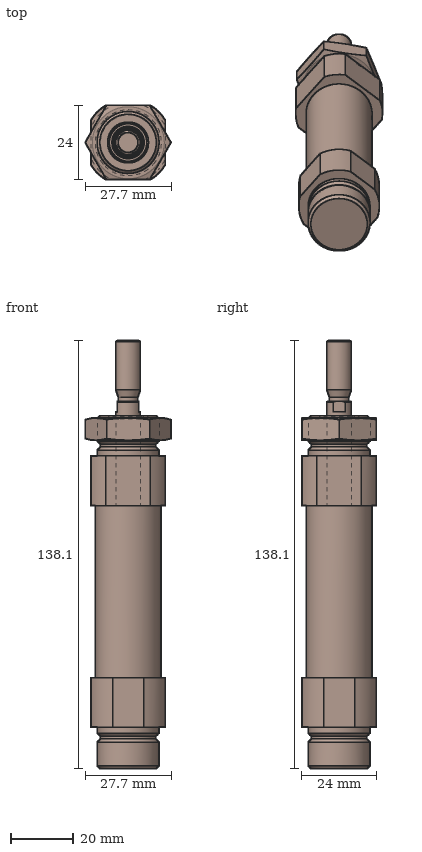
import cadquery as cq
import math

block_width = 24.0
block_height = 16.0
lower_block_base = 13.4
upper_block_base = 84.8
lower_block_top = lower_block_base + block_height
upper_block_top = upper_block_base + block_height
housing_length = 113.8

tube_diameter = 21.3
lower_block_diameter = 26.0
upper_block_diameter = 28.0
thread_diameter = 20.0
thread_tip_diameter = 18.2
thread_chamfer_length = 1.0
undercut_diameter = 18.0
undercut_width = 2.9
collar_length = 1.9

recess_mouth_diameter = 13.2
recess_diameter = 12.1
recess_depth = 0.8
lip_base_diameter = 10.4
lip_top_diameter = 9.6
lip_bore_diameter = 8.57
lip_drop = 0.3

rod_diameter = 8.0
rod_top = 138.1
rod_thread_length = 16.0
rod_tip_diameter = 6.4
rod_tip_length = 0.5
rod_neck_diameter = 6.4
rod_relief_cone_length = 2.4
rod_shoulder = 118.4
rod_shoulder_chamfer = 0.3
flat_spacing = 7.0
flat_bottom = 115.0

nut_width = 24.0
nut_height = 7.3
nut_top = 113.1
nut_base = nut_top - nut_height
nut_face_diameter = 23.2
nut_chamfer_angle = 15.0


def turned(profile):
    """Revolve (radius, height) points about the Z axis."""
    return cq.Workplane("XZ").polyline(profile).close().revolve(360, (0, 0), (0, 1))


def disc(diameter, base, height):
    return cq.Workplane("XY").workplane(offset=base).circle(diameter / 2).extrude(height)


def threaded_end(block_face, tip):
    """Turned end with a collar, an undercut and a chamfered thread, running from block_face to tip."""
    outward = math.copysign(1, tip - block_face)
    thread_radius = thread_diameter / 2
    tip_radius = thread_tip_diameter / 2
    undercut_radius = undercut_diameter / 2
    cone_length = thread_radius - undercut_radius
    undercut_start = block_face + outward * collar_length
    undercut_end = undercut_start + outward * undercut_width
    return turned([
        (0, block_face),
        (thread_radius, block_face),
        (thread_radius, undercut_start),
        (undercut_radius, undercut_start + outward * cone_length),
        (undercut_radius, undercut_end - outward * cone_length),
        (thread_radius, undercut_end),
        (thread_radius, tip - outward * thread_chamfer_length),
        (tip_radius, tip),
        (0, tip),
    ])


def square_block(corner_diameter, base):
    """Square block with its corners turned to corner_diameter."""
    square = cq.Workplane("XY").box(block_width, block_width, block_height, centered=(True, True, False))
    return square.translate((0, 0, base)).intersect(disc(corner_diameter, base, block_height))


def wiper_recess():
    """Chamfered recess that leaves a raised conical lip around the rod, with a bevelled lip bore."""
    floor = housing_length - recess_depth
    lip_top = housing_length - lip_drop
    rod_radius = rod_diameter / 2
    lip_bore_radius = lip_bore_diameter / 2
    recess_radius = recess_diameter / 2
    mouth_radius = recess_mouth_diameter / 2
    return turned([
        (0, housing_length),
        (0, lip_top - (lip_bore_radius - rod_radius)),
        (rod_radius, lip_top - (lip_bore_radius - rod_radius)),
        (lip_bore_radius, lip_top),
        (lip_top_diameter / 2, lip_top),
        (lip_base_diameter / 2, floor),
        (recess_radius, floor),
        (recess_radius, housing_length - (mouth_radius - recess_radius)),
        (mouth_radius, housing_length),
    ])


def make_housing():
    tube = disc(tube_diameter, lower_block_top, upper_block_base - lower_block_top)
    rod_bore = disc(rod_diameter, upper_block_base, housing_length - upper_block_base)
    return (
        tube
        .union(square_block(lower_block_diameter, lower_block_base))
        .union(square_block(upper_block_diameter, upper_block_base))
        .union(threaded_end(lower_block_base, 0))
        .union(threaded_end(upper_block_top, housing_length))
        .cut(wiper_recess())
        .cut(rod_bore)
    )


def make_rod():
    """Rod seated in the housing bore, with two wrench flats facing X below its threaded tip."""
    rod_radius = rod_diameter / 2
    neck_radius = rod_neck_diameter / 2
    thread_base = rod_top - rod_thread_length
    rod = turned([
        (0, upper_block_base),
        (rod_radius, upper_block_base),
        (rod_radius, rod_shoulder - rod_shoulder_chamfer),
        (rod_radius - rod_shoulder_chamfer, rod_shoulder),
        (neck_radius, rod_shoulder),
        (neck_radius, thread_base - rod_relief_cone_length),
        (rod_radius, thread_base),
        (rod_radius, rod_top - rod_tip_length),
        (rod_tip_diameter / 2, rod_top),
        (0, rod_top),
    ])
    flat_depth = (rod_diameter - flat_spacing) / 2
    flat_height = rod_shoulder - flat_bottom
    for side in (-1, 1):
        flat_center = side * (flat_spacing + flat_depth) / 2
        cutter = cq.Workplane("XY").box(flat_depth, rod_diameter, flat_height, centered=(True, True, False))
        rod = rod.cut(cutter.translate((flat_center, 0, flat_bottom)))
    return rod


def make_nut():
    """Hexagon nut with corners along X, chamfered at both faces and seated on the housing thread."""
    corner_radius = nut_width / math.sqrt(3)
    face_radius = nut_face_diameter / 2
    chamfer_drop = (corner_radius - face_radius) * math.tan(math.radians(nut_chamfer_angle))
    hexagon = (
        cq.Workplane("XY")
        .workplane(offset=nut_base)
        .polygon(6, 2 * corner_radius)
        .extrude(nut_height)
    )
    envelope = turned([
        (0, nut_base),
        (face_radius, nut_base),
        (corner_radius, nut_base + chamfer_drop),
        (corner_radius, nut_top - chamfer_drop),
        (face_radius, nut_top),
        (0, nut_top),
    ])
    return hexagon.intersect(envelope).cut(disc(thread_diameter, nut_base, nut_height))


housing = make_housing()
rod = make_rod()
nut = make_nut()

result = cq.Compound.makeCompound([housing.val(), rod.val(), nut.val()])